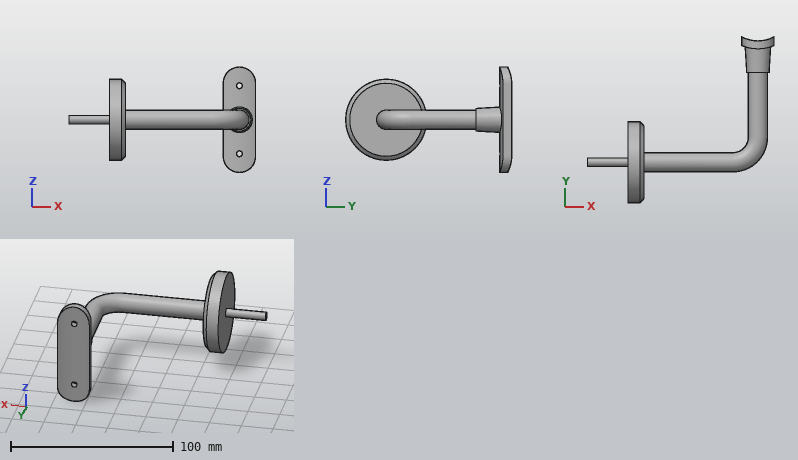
import cadquery as cq
import math

overall_length = 115.0

pin_diameter = 5.3
pin_length = 25.0
rose_diameter = 50.0
rose_thickness = 10.0
rose_chamfer = 2.5

rod_diameter = 12.0
bend_radius = 15.4

plate_width = 20.0
plate_height = 65.0
plate_thickness = 5.0
rail_radius = 21.0
overall_depth = 102.4
screw_hole_diameter = 3.5
screw_hole_spacing = 41.9

collar_length = 14.7
collar_small_diameter = 14.0
collar_large_diameter = 15.8

arm_x = overall_length - plate_width / 2
plate_tip_y = overall_depth - rose_diameter / 2
rail_axis_y = plate_tip_y + math.sqrt(rail_radius**2 - (plate_width / 2) ** 2)
saddle_outer_radius = rail_radius + plate_thickness
plate_front_y = rail_axis_y - saddle_outer_radius
plate_middle_y = plate_front_y + plate_thickness / 2
collar_start_y = plate_front_y - collar_length
rose_front_x = pin_length + rose_thickness


def make_wall_mount():
    """Fixing pin and round rose, chamfered on the arm side."""
    pin = cq.Workplane("YZ").circle(pin_diameter / 2).extrude(pin_length)
    rose = (
        cq.Workplane("YZ", origin=(pin_length, 0, 0))
        .circle(rose_diameter / 2)
        .extrude(rose_thickness)
        .faces(">X")
        .chamfer(rose_chamfer)
    )
    return pin.union(rose)


def make_rod():
    """Round rod with one quarter bend, ending inside the saddle plate."""
    bend_offset = bend_radius * math.sqrt(0.5)
    bend_middle = (arm_x - bend_radius + bend_offset, bend_radius - bend_offset)
    path = (
        cq.Workplane("XY")
        .moveTo(rose_front_x, 0)
        .lineTo(arm_x - bend_radius, 0)
        .threePointArc(bend_middle, (arm_x, bend_radius))
        .lineTo(arm_x, plate_middle_y)
    )
    return (
        cq.Workplane("YZ", origin=(rose_front_x, 0, 0))
        .circle(rod_diameter / 2)
        .sweep(path)
    )


def make_collar():
    """Cone widening towards the plate and ending inside its thickness."""
    embedded_length = plate_middle_y - collar_start_y
    radius_growth = (collar_large_diameter - collar_small_diameter) / 2 / collar_length
    small_radius = collar_small_diameter / 2
    end_radius = small_radius + radius_growth * embedded_length
    return cq.Workplane(
        cq.Solid.makeCone(
            small_radius,
            end_radius,
            embedded_length,
            pnt=cq.Vector(arm_x, collar_start_y, 0),
            dir=cq.Vector(0, 1, 0),
        )
    )


def make_saddle_plate():
    """Round-ended plate cut from a tube wall that follows the handrail."""
    tube = (
        cq.Workplane("XY", origin=(arm_x, rail_axis_y, -plate_height / 2))
        .circle(saddle_outer_radius)
        .circle(rail_radius)
        .extrude(plate_height)
    )
    outline = (
        cq.Workplane("XZ", origin=(arm_x, rail_axis_y, 0))
        .slot2D(plate_height, plate_width, 90)
        .extrude(saddle_outer_radius)
    )
    screw_holes = (
        cq.Workplane("XZ", origin=(arm_x, rail_axis_y, 0))
        .rarray(1.2, screw_hole_spacing, 1, 2)
        .circle(screw_hole_diameter / 2)
        .extrude(saddle_outer_radius)
    )
    return tube.intersect(outline).cut(screw_holes)


result = make_wall_mount().union(make_rod()).union(make_collar()).union(make_saddle_plate())